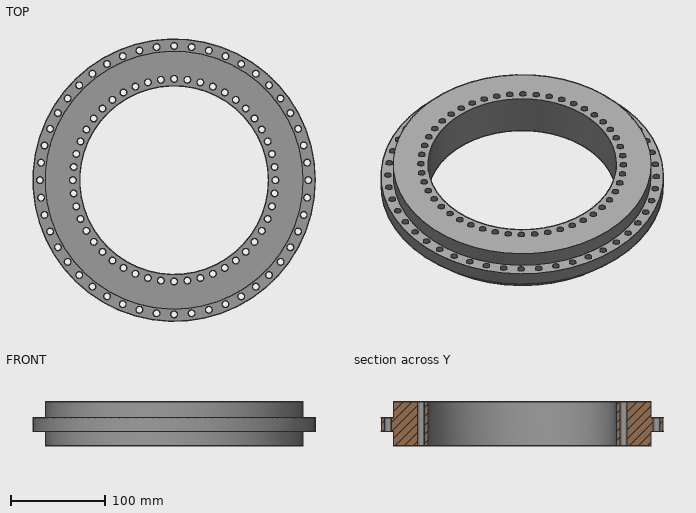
import cadquery as cq

flange_diameter = 300.0
body_diameter = 274.0
bore_diameter = 200.0

lower_height = 15.0
flange_height = 15.0
upper_height = 17.0
total_height = lower_height + flange_height + upper_height

bolt_count = 48
bolt_hole_diameter = 7.0
flange_bolt_circle = 285.0
body_bolt_circle = 215.0


def disc(diameter, height, base_z=0.0):
    """Solid disc on the Z axis with its lower face at base_z."""
    return cq.Workplane("XY").workplane(offset=base_z).circle(diameter / 2).extrude(height)


def bolt_hole_cutters(circle_diameter):
    """Full-height pins, evenly spaced on a bolt circle, starting on the +X axis."""
    return (
        cq.Workplane("XY")
        .polarArray(circle_diameter / 2, 0, 360, bolt_count)
        .circle(bolt_hole_diameter / 2)
        .extrude(total_height)
    )


body = disc(body_diameter, total_height)
flange = disc(flange_diameter, flange_height, lower_height)
ring = body.union(flange)

ring = ring.cut(disc(bore_diameter, total_height))
for bolt_circle in (flange_bolt_circle, body_bolt_circle):
    ring = ring.cut(bolt_hole_cutters(bolt_circle))

result = ring